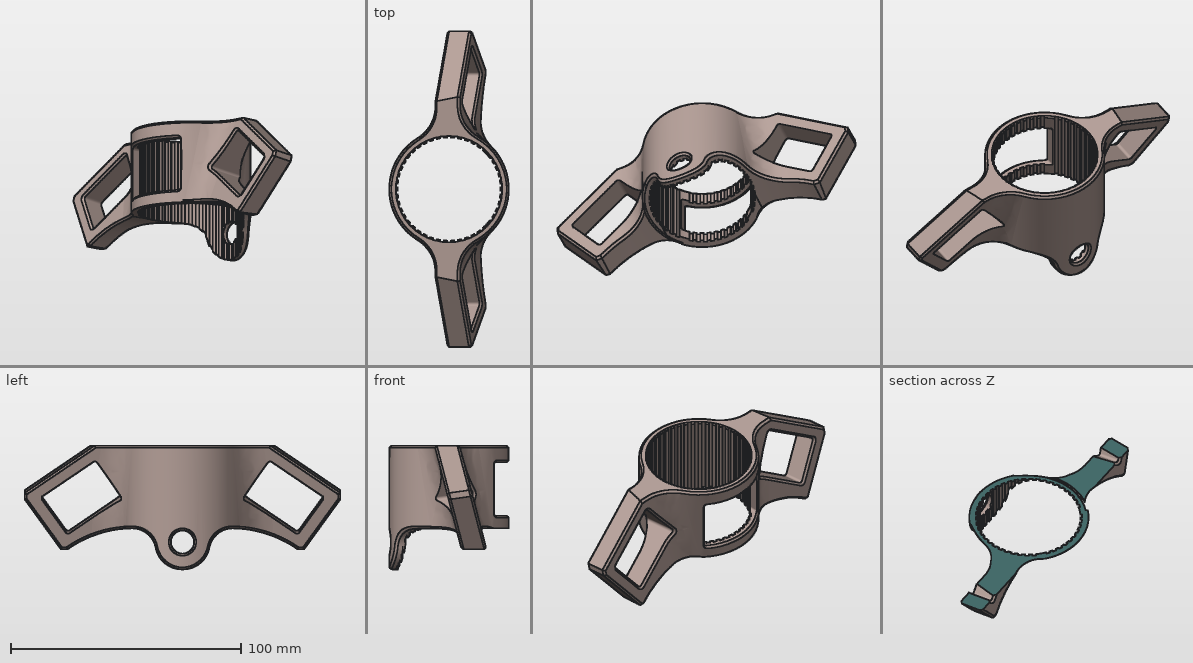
import cadquery as cq
import math

RING_DIAMETER = 52.0
RING_HEIGHT = 36.0
EDGE_CHAMFER = 1.0

BORE_DIAMETER = 46.1
TOOTH_DEPTH = 0.7
TOOTH_COUNT = 46
PAD_TEETH = (5, 6)

SIDE_WINDOW_WIDTH = 32.6
SIDE_WINDOW_TOP = -7.3
SIDE_WINDOW_HEIGHT = 23.0
SIDE_WINDOW_FILLET = 1.0
SIDE_WINDOW_CHAMFER = 1.0

TOTAL_HEIGHT = 53.8
TONGUE_RADIUS = 12.0
TONGUE_BLEND = 10.0
TONGUE_HOLE_DIAMETER = 10.0
TONGUE_HOLE_CHAMFER = 1.0

BEVEL_HALF_ANGLE = 43

SPAN = 137.2
WING_THICKNESS = 10.8
WING_SHIFT = -0.8
WING_LEAN = 0.26
WING_DRAFT = 0.14
WING_SLOPE = 35
WING_BLEND = 15.1
WING_DEPTH = 45.0
WING_ARC_RADIUS = 49.4
WING_CENTER_Y = 43.9
WING_CENTER_Z = -22.5
WING_TOP_OFFSET = 15.8
WING_END_OFFSET = 20.7
WING_WINDOW_LENGTH = 29.2
WING_WINDOW_WIDTH = 20.3
WING_WINDOW_FILLET = 1.2
WING_WINDOW_CHAMFER = 1.0

MARGIN = 13.7
TOLERANCE = 0.01
UPRIGHT_NORMAL = 0.8
STOCK_OVERRUN = 1.4

ring_radius = RING_DIAMETER / 2
bore_radius = BORE_DIAMETER / 2
tip_radius = bore_radius - TOOTH_DEPTH
half_span = SPAN / 2
reach = ring_radius + MARGIN
cut_depth = TOTAL_HEIGHT + MARGIN
tongue_z = TONGUE_RADIUS - TOTAL_HEIGHT

blend_z = -RING_HEIGHT - TONGUE_BLEND
blend_y = math.sqrt((TONGUE_RADIUS + TONGUE_BLEND) ** 2 - (tongue_z - blend_z) ** 2)


def axis_distance(point):
    return math.hypot(point.x, point.y)


def sample_points(edge):
    return edge.positions((0.1, 0.5, 0.9))


def make_stock():
    """Tall cylinder crossed by the leaning wing slab, with the four joints filleted."""
    top = MARGIN / 2
    bottom = -TOTAL_HEIGHT - STOCK_OVERRUN
    height = top - bottom
    half = WING_THICKNESS / 2
    x_top = WING_SHIFT - WING_LEAN * top
    x_bottom = WING_SHIFT - WING_LEAN * bottom
    cylinder = cq.Workplane("XY", origin=(0, 0, bottom)).circle(ring_radius).extrude(height)
    slab = (
        cq.Workplane("XZ")
        .moveTo(x_top - half, top)
        .lineTo(x_top + half, top)
        .lineTo(x_bottom + half, bottom)
        .lineTo(x_bottom - half, bottom)
        .close()
        .extrude(half_span + MARGIN, both=True)
    )
    stock = cylinder.union(slab)

    def is_joint(edge):
        start, end = edge.startPoint(), edge.endPoint()
        on_ring = all(abs(axis_distance(p) - ring_radius) < TOLERANCE for p in (start, end))
        return on_ring and abs(start.z - end.z) > height / 2

    joints = [edge for edge in stock.edges().vals() if is_joint(edge)]
    return stock.newObject(joints).fillet(WING_BLEND)


def make_side_outline():
    """Prism along X: flat top, tongue in the middle, hollow wing undersides."""
    share = TONGUE_RADIUS / (TONGUE_RADIUS + TONGUE_BLEND)
    tongue_side = (share * blend_y, tongue_z + share * (blend_z - tongue_z))
    side_angle = math.atan2(tongue_side[1] - blend_z, tongue_side[0] - blend_y)
    middle_angle = (side_angle + math.pi / 2) / 2
    blend_middle = (
        blend_y + TONGUE_BLEND * math.cos(middle_angle),
        blend_z + TONGUE_BLEND * math.sin(middle_angle),
    )
    arc_angle = math.acos(1 - (WING_DEPTH - RING_HEIGHT) / WING_ARC_RADIUS)

    def on_wing_arc(angle):
        y = blend_y + WING_ARC_RADIUS * math.sin(angle)
        return y, -RING_HEIGHT - WING_ARC_RADIUS * (1 - math.cos(angle))

    def mirrored(point):
        return -point[0], point[1]

    arc_start = on_wing_arc(0)
    arc_middle = on_wing_arc(arc_angle / 2)
    arc_end = on_wing_arc(arc_angle)
    return (
        cq.Workplane("YZ")
        .moveTo(-half_span, 0)
        .lineTo(half_span, 0)
        .lineTo(half_span, -WING_DEPTH)
        .lineTo(*arc_end)
        .threePointArc(arc_middle, arc_start)
        .threePointArc(blend_middle, tongue_side)
        .threePointArc((0, -TOTAL_HEIGHT), mirrored(tongue_side))
        .threePointArc(mirrored(blend_middle), mirrored(arc_start))
        .threePointArc(mirrored(arc_middle), mirrored(arc_end))
        .lineTo(-half_span, -WING_DEPTH)
        .close()
        .extrude(reach, both=True)
    )


def make_wing_prism(along_range, across_range):
    """Sloping block through the +Y wing, rising by WING_DRAFT as X grows.

    The ranges are measured from the window centre, along the wing and across it.
    """
    angle = math.radians(WING_SLOPE)
    low, high = along_range
    under, over = across_range
    points = []
    for along, across in ((low, under), (high, under), (high, over), (low, over)):
        y = WING_CENTER_Y + along * math.cos(angle) + across * math.sin(angle)
        z = WING_CENTER_Z - along * math.sin(angle) + across * math.cos(angle)
        points.append(cq.Vector(-reach, y, z - WING_DRAFT * reach))
    outline = cq.Wire.makePolygon(points, close=True)
    direction = cq.Vector(2 * reach, 0, 2 * reach * WING_DRAFT)
    return cq.Workplane(cq.Solid.extrudeLinear(outline, [], direction))


def make_envelope():
    """Side outline with both wings trimmed by their sloping top and end."""
    far = 2 * SPAN
    trim = make_wing_prism((-far, WING_END_OFFSET), (-far, WING_TOP_OFFSET))
    return make_side_outline().intersect(trim).intersect(trim.mirror("XZ"))


def find_rim(body):
    """Outer edges where the upright side faces meet the top, wing ends and underside."""
    neighbours = {}
    for face in body.faces().vals():
        upright = abs(face.normalAt(face.Center()).x) > UPRIGHT_NORMAL
        for edge in face.Edges():
            neighbours.setdefault(edge.hashCode(), (edge, set()))[1].add(upright)
    return [
        edge
        for edge, kinds in neighbours.values()
        if len(kinds) == 2 and axis_distance(edge.positionAt(0.5)) > bore_radius + EDGE_CHAMFER
    ]


def make_flat_side_cut():
    """Cutter for the tongue's twin on +X, leaving the ring bottom flat and bevelled."""
    twin = (
        cq.Workplane("XY", origin=(reach / 2, 0, -RING_HEIGHT))
        .rect(reach, 2 * (TONGUE_RADIUS + TONGUE_BLEND))
        .extrude(-cut_depth)
    )
    bevel = (
        cq.Workplane("XZ")
        .moveTo(ring_radius - EDGE_CHAMFER, -RING_HEIGHT)
        .lineTo(ring_radius, -RING_HEIGHT + EDGE_CHAMFER)
        .lineTo(ring_radius, -RING_HEIGHT)
        .close()
        .revolve(2 * BEVEL_HALF_ANGLE, (0, 0), (0, 1))
        .rotate((0, 0, 0), (0, 0, 1), BEVEL_HALF_ANGLE)
    )
    return twin.union(bevel)


def make_body():
    """Hollow ring with wings and tongue, chamfered all round."""
    pilot_bore = cq.Workplane("XY").circle(tip_radius).extrude(-cut_depth)
    body = make_stock().intersect(make_envelope()).cut(pilot_bore)
    body = body.newObject(find_rim(body)).chamfer(EDGE_CHAMFER)
    return body.cut(make_flat_side_cut())


def make_serrated_bore():
    """Bore cutter with grooves between the teeth and a cone that bevels the tooth tops."""
    pitch = 2 * math.pi / TOOTH_COUNT
    first_pad, last_pad = PAD_TEETH
    closed_gaps = (first_pad, TOOTH_COUNT - last_pad)

    def at(radius, tooth):
        return radius * math.cos(tooth * pitch), radius * math.sin(tooth * pitch)

    outline = cq.Workplane("XY").moveTo(*at(tip_radius, 0.25))
    for tooth in range(TOOTH_COUNT):
        gap_start, gap_middle, gap_end = tooth + 0.25, tooth + 0.5, tooth + 0.75
        if tooth in closed_gaps:
            outline = outline.threePointArc(at(tip_radius, gap_middle), at(tip_radius, gap_end))
        else:
            outline = outline.lineTo(*at(bore_radius, gap_start))
            outline = outline.threePointArc(at(bore_radius, gap_middle), at(bore_radius, gap_end))
            outline = outline.lineTo(*at(tip_radius, gap_end))
        outline = outline.threePointArc(at(tip_radius, tooth + 1), at(tip_radius, tooth + 1.25))
    cone_base = cq.Vector(0, 0, -TOOTH_DEPTH)
    cone = cq.Solid.makeCone(tip_radius, bore_radius, TOOTH_DEPTH, pnt=cone_base)
    return outline.close().extrude(-cut_depth).union(cq.Workplane(cone))


def make_side_window():
    middle_z = SIDE_WINDOW_TOP - SIDE_WINDOW_HEIGHT / 2
    window = cq.Workplane("YZ", origin=(0, 0, middle_z)).rect(SIDE_WINDOW_WIDTH, SIDE_WINDOW_HEIGHT)
    return window.extrude(reach).edges("|X").fillet(SIDE_WINDOW_FILLET)


def make_tongue_hole():
    return cq.Workplane("YZ", origin=(0, 0, tongue_z)).circle(TONGUE_HOLE_DIAMETER / 2).extrude(-reach)


def make_wing_window():
    half_length = WING_WINDOW_LENGTH / 2
    half_width = WING_WINDOW_WIDTH / 2
    block = make_wing_prism((-half_length, half_length), (-half_width, half_width))
    return block.edges("not(#X)").fillet(WING_WINDOW_FILLET)


def cut_with_chamfer(body, cutter, chamfer, is_mouth):
    """Cut an opening and chamfer those of its new edges for which is_mouth(edge) holds."""
    walls = cutter.val()
    body = body.cut(cutter)

    def on_wall(edge):
        probes = [cq.Vertex.makeVertex(*point.toTuple()) for point in sample_points(edge)]
        return all(walls.distance(probe) < TOLERANCE for probe in probes)

    mouth = [edge for edge in body.edges().vals() if is_mouth(edge) and on_wall(edge)]
    return body.newObject(mouth).chamfer(chamfer)


def is_on_ring_surface(edge):
    return all(abs(axis_distance(p) - ring_radius) < TOLERANCE for p in sample_points(edge))


def is_on_wing_front(edge):
    """True for edges on the +X face of the wing slab or on the fillets rising from it."""
    front = WING_SHIFT + WING_THICKNESS / 2 - TOLERANCE
    return all(p.x + WING_LEAN * p.z > front for p in sample_points(edge))


body = make_body().cut(make_serrated_bore())
body = cut_with_chamfer(body, make_side_window(), SIDE_WINDOW_CHAMFER, is_on_ring_surface)
body = cut_with_chamfer(body, make_tongue_hole(), TONGUE_HOLE_CHAMFER, is_on_ring_surface)
for window in (make_wing_window(), make_wing_window().mirror("XZ")):
    body = cut_with_chamfer(body, window, WING_WINDOW_CHAMFER, is_on_wing_front)
result = body